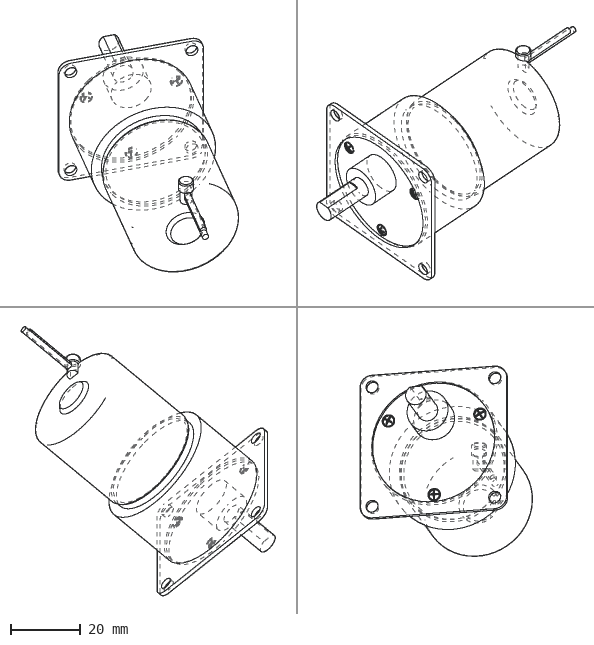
import cadquery as cq
import math


overall_length = 99.69

plate_size = 43.0
plate_thickness = 1.3
plate_corner_radius = 3.5
mount_hole_pitch = 36.0
mount_hole_diameter = 3.5
plate_opening_diameter = 36.0
face_recess = 1.0

gearbox_diameter = 37.0
gearbox_end = 24.0
neck_diameter = 31.0
motor_start = 26.0

motor_diameter = 32.0
motor_end = 57.0
motor_front_fillet = 1.25
motor_rear_fillet = 0.8
hub_base_diameter = 11.5
hub_end_diameter = 9.5
hub_height = 1.2

shaft_offset = 7.0
boss_diameter = 12.0
boss_length = 7.2
shaft_diameter = 6.0
shaft_reach = 22.0
flat_length = 11.8
flat_depth = 0.5

screw_count = 3
screw_circle_radius = 15.5
screw_first_angle = 30.0
screw_pocket_diameter = 3.6
screw_pocket_depth = 0.3
screw_head_diameter = 3.0
screw_head_height = 0.8
screw_slot_length = 2.5
screw_slot_width = 0.3
screw_slot_depth = 0.5

post_overhang = 0.55
post_x = motor_end + post_overhang
post_diameter = 3.3
post_bottom = 10.6
cap_diameter = 4.4
cap_bottom = 15.1
cap_top = 18.1
cap_edge = 0.35
wire_diameter = 1.8
wire_stagger = 2.1
lower_wire_z = 13.0
upper_wire_z = 13.95
lower_wire_end = overall_length - shaft_reach
upper_wire_end = lower_wire_end - wire_stagger


def rod(diameter, start, end, y=0.0, z=0.0):
    """Solid cylinder along X between two stations."""
    section = cq.Workplane("YZ", origin=(start, y, z)).circle(diameter / 2)
    return section.extrude(end - start)


def upright(diameter, bottom, top):
    """Solid cylinder along Z on the terminal post axis."""
    section = cq.Workplane("XY", origin=(post_x, 0, bottom)).circle(diameter / 2)
    return section.extrude(top - bottom)


def mounting_plate():
    plate = cq.Workplane("YZ").rect(plate_size, plate_size).extrude(plate_thickness)
    plate = plate.edges("|X").fillet(plate_corner_radius)
    holes = (
        cq.Workplane("YZ")
        .rect(mount_hole_pitch, mount_hole_pitch, forConstruction=True)
        .vertices()
        .circle(mount_hole_diameter / 2)
        .extrude(plate_thickness)
    )
    return plate.cut(holes).cut(rod(plate_opening_diameter, 0, face_recess))


def motor():
    can = rod(motor_diameter, motor_start, motor_end)
    can = can.faces("<X").edges().fillet(motor_front_fillet)
    can = can.faces(">X").edges().fillet(motor_rear_fillet)
    hub = (
        cq.Workplane("YZ", origin=(motor_end, 0, 0))
        .circle(hub_base_diameter / 2)
        .workplane(offset=hub_height)
        .circle(hub_end_diameter / 2)
        .loft(ruled=True)
    )
    return can.union(hub)


def output_shaft():
    boss = rod(boss_diameter, -boss_length, plate_thickness, z=shaft_offset)
    shaft = rod(shaft_diameter, -shaft_reach, 0, z=shaft_offset)
    flat_z = shaft_offset + shaft_diameter / 2 - flat_depth
    flat_cut = cq.Workplane("XY").box(
        flat_length, shaft_diameter, shaft_diameter, centered=(False, True, False)
    )
    return boss.union(shaft.cut(flat_cut.translate((-shaft_reach, 0, flat_z))))


def screw_head():
    """Domed cross-slot head on the X axis, its crown at X = 0 facing -X."""
    radius = screw_head_diameter / 2
    dome_radius = (radius**2 + screw_head_height**2) / (2 * screw_head_height)
    dome = cq.Workplane("XY").sphere(dome_radius).translate((dome_radius, 0, 0))
    head = rod(screw_head_diameter, 0, screw_head_height).intersect(dome)
    slot = cq.Workplane("XY").box(2 * screw_slot_depth, screw_slot_length, screw_slot_width)
    return head.cut(slot).cut(slot.rotate((0, 0, 0), (1, 0, 0), 90))


def add_screws(body):
    pocket_bottom = face_recess + screw_pocket_depth
    for index in range(screw_count):
        angle = screw_first_angle + index * 360 / screw_count
        y = screw_circle_radius * math.cos(math.radians(angle))
        z = screw_circle_radius * math.sin(math.radians(angle))
        body = body.cut(rod(screw_pocket_diameter, face_recess, pocket_bottom, y, z))
        head = screw_head().rotate((0, 0, 0), (1, 0, 0), angle)
        body = body.union(head.translate((pocket_bottom - screw_head_height, y, z)))
    return body


def terminal():
    cap = upright(cap_diameter, cap_bottom, cap_top).faces(">Z").edges().chamfer(cap_edge)
    post = upright(post_diameter, post_bottom, cap_bottom)
    lower_wire = rod(wire_diameter, post_x, lower_wire_end, z=lower_wire_z)
    upper_wire = rod(wire_diameter, post_x, upper_wire_end, z=upper_wire_z)
    return cap.union(post).union(lower_wire).union(upper_wire)


gearbox = rod(gearbox_diameter, plate_thickness, gearbox_end)
neck = rod(neck_diameter, gearbox_end, motor_start)
body = mounting_plate().union(gearbox).union(neck).union(motor())
body = add_screws(body).union(output_shaft())
result = body.union(terminal())